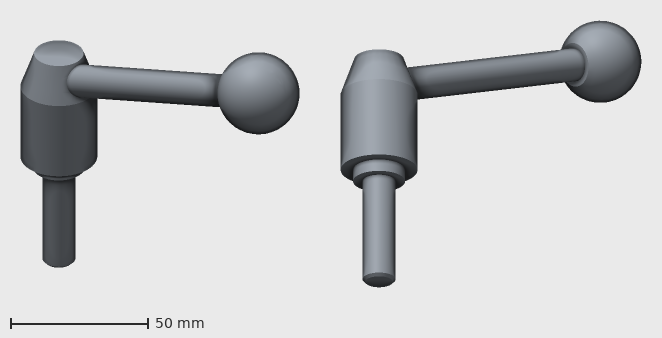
import cadquery as cq
import math

length = 129.7
height = 128.9

hub_diameter = 28.0
hub_top_diameter = 18.0
collar_diameter = 19.0
stem_diameter = 12.0
stem_chamfer = 1.0
stem_length = 40.0
collar_height = 4.5
hub_height = 30.0
cone_height = 14.0

ball_diameter = 30.0
arm_diameter = 12.0
arm_angle = 20.0
ball_flat_diameter = 16.0

ball_radius = ball_diameter / 2
ball_x = length - hub_diameter / 2 - ball_radius
ball_z = height - ball_radius
arm_length = ball_x / math.cos(math.radians(arm_angle))
arm_start_z = ball_z - ball_x * math.tan(math.radians(arm_angle))
flat_distance = math.sqrt(ball_radius**2 - (ball_flat_diameter / 2) ** 2)


def make_hub():
    """Chamfered stem, collar, cylindrical hub and conical top as one revolved profile."""
    stem_radius = stem_diameter / 2
    hub_bottom = stem_length + collar_height
    cone_bottom = hub_bottom + hub_height
    hub_top = cone_bottom + cone_height
    return (
        cq.Workplane("XZ")
        .moveTo(0, 0)
        .lineTo(stem_radius - stem_chamfer, 0)
        .lineTo(stem_radius, stem_chamfer)
        .lineTo(stem_radius, stem_length)
        .lineTo(collar_diameter / 2, stem_length)
        .lineTo(collar_diameter / 2, hub_bottom)
        .lineTo(hub_diameter / 2, hub_bottom)
        .lineTo(hub_diameter / 2, cone_bottom)
        .lineTo(hub_top_diameter / 2, hub_top)
        .lineTo(0, hub_top)
        .close()
        .revolve(360, (0, 0, 0), (0, 1, 0))
    )


def make_arm_with_ball():
    """Arm from the hub axis to the ball centre, and a ball with a flat facing the arm."""
    flat_radius = ball_flat_diameter / 2
    flat_start = arm_length - flat_distance
    arm_radius = arm_diameter / 2
    return (
        cq.Workplane("XZ")
        .moveTo(0, 0)
        .lineTo(0, arm_radius)
        .lineTo(flat_start, arm_radius)
        .lineTo(flat_start, flat_radius)
        .threePointArc((arm_length, ball_radius), (arm_length + ball_radius, 0))
        .close()
        .revolve(360, (0, 0, 0), (1, 0, 0))
        .rotate((0, 0, 0), (0, 1, 0), -arm_angle)
        .translate((0, 0, arm_start_z))
    )


result = make_hub().union(make_arm_with_ball())